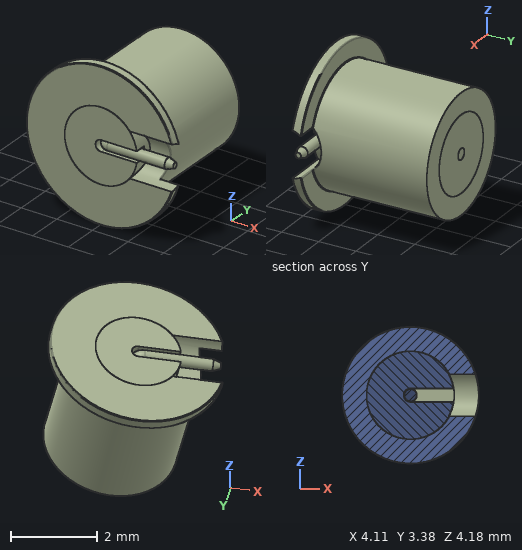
import cadquery as cq
import math

flange_diameter = 4.18
flange_thickness = 0.26
edge_radius = 0.02
sleeve_diameter = 3.175
sleeve_root_radius = 0.015
total_length = 3.38
bore_diameter = 2.03

slot_radius = 0.625
slot_axis_offset = 0.09

pin_diameter = 0.293
pin_radius = pin_diameter / 2
channel_width = 0.305
channel_depth = channel_width
pin_axis_depth = channel_depth / 2
bend_radius = channel_depth - pin_axis_depth
pin_reach = 1.975
pin_tip_length = 0.195
pin_tip_diameter = 0.15


def y_cylinder(diameter, start, length):
    """Cylinder on the housing axis, running toward +Y from y = start."""
    return cq.Workplane("XZ", origin=(0, start, 0)).circle(diameter / 2).extrude(-length)


def make_housing():
    bore_radius = bore_diameter / 2
    rim_radius = flange_diameter / 2
    sleeve_radius = sleeve_diameter / 2
    body = (
        cq.Workplane("XY")
        .moveTo(bore_radius, 0)
        .lineTo(rim_radius, 0)
        .lineTo(rim_radius, flange_thickness)
        .lineTo(sleeve_radius + sleeve_root_radius, flange_thickness)
        .tangentArcPoint((-sleeve_root_radius, sleeve_root_radius))
        .lineTo(sleeve_radius, total_length)
        .lineTo(bore_radius, total_length)
        .close()
        .revolve(360, (0, 0, 0), (0, 1, 0))
    )
    slot = (
        cq.Workplane("YZ")
        .center(-slot_axis_offset, 0)
        .circle(slot_radius)
        .extrude(flange_diameter)
    )
    slotted = body.cut(slot)
    flange_edges = cq.selectors.RadiusNthSelector(-1)
    slot_rim = cq.selectors.BoxSelector(
        (bore_radius, flange_thickness - edge_radius, -slot_radius),
        (rim_radius, slot_radius, slot_radius),
    )
    return slotted.edges(slot_rim + flange_edges).fillet(edge_radius)


def make_pin():
    taper_start = pin_reach - pin_tip_length
    bend_middle = bend_radius * (1 - math.sqrt(0.5))
    wire_path = (
        cq.Workplane("XY")
        .moveTo(0, total_length)
        .lineTo(0, channel_depth)
        .threePointArc((bend_middle, pin_axis_depth + bend_middle), (bend_radius, pin_axis_depth))
        .lineTo(taper_start, pin_axis_depth)
    )
    wire = cq.Workplane("XZ", origin=(0, total_length, 0)).circle(pin_radius).sweep(wire_path)
    tip = cq.Workplane(
        cq.Solid.makeCone(
            pin_radius,
            pin_tip_diameter / 2,
            pin_tip_length,
            cq.Vector(taper_start, pin_axis_depth, 0),
            cq.Vector(1, 0, 0),
        )
    )
    return wire.union(tip)


def make_insulator():
    core = y_cylinder(bore_diameter, 0, total_length)
    channel = cq.Workplane("XY").box(
        bore_diameter, channel_depth, channel_width, centered=(False, False, True)
    )
    channel_end = y_cylinder(channel_width, 0, channel_depth)
    pin_hole = y_cylinder(pin_diameter, 0, total_length)
    return core.cut(channel).cut(channel_end).cut(pin_hole)


housing = make_housing()
pin = make_pin()
insulator = make_insulator()

result = cq.Compound.makeCompound([housing.val(), insulator.val(), pin.val()])